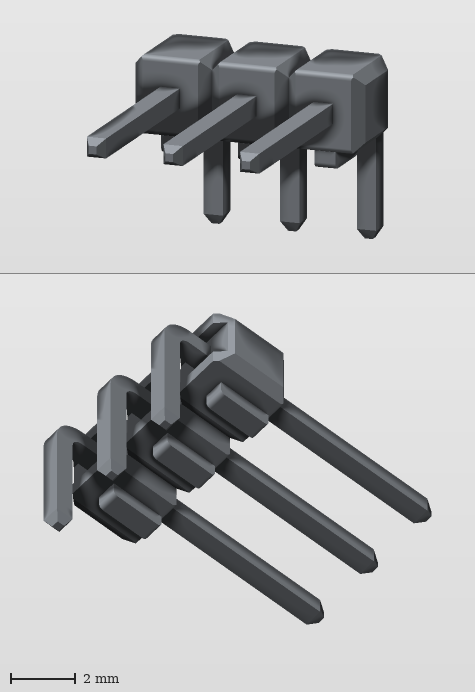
import cadquery as cq

positions = 3
pitch = 2.54
yaw = 0.15

housing_depth = 2.78
housing_height = 2.54
groove_depth = 0.35
front_chamfer = 0.32
back_chamfer = 0.49
front_edge_radius = 0.17
slot_height = 1.53
slot_depth = 0.33

foot_width = 0.7
foot_length = 1.94
foot_height = 0.56
foot_setback = 0.13
foot_radius = 0.18

pin_width = 0.64
bend_inner_radius = 0.41
tip_length = 0.33
tip_width = 0.26
front_reach = 6.725
back_reach = 1.59
leg_drop = 5.02

half_height = housing_height / 2
half_pin = pin_width / 2
bend_radius = bend_inner_radius + half_pin
leg_y = housing_depth + back_reach - half_pin
row_length = positions * pitch
pin_xs = [(i - (positions - 1) / 2) * pitch for i in range(positions)]


def make_side_profile():
    """Housing section across X, with rounded front edges and the slot along the back."""
    side = (
        cq.Workplane("YZ")
        .rect(housing_depth, housing_height)
        .extrude(row_length / 2, both=True)
        .translate((0, housing_depth / 2, 0))
        .edges("<Y and |X")
        .fillet(front_edge_radius)
    )
    slot = cq.Workplane("XY").box(row_length, 2 * slot_depth, slot_height)
    return side.cut(slot.translate((0, housing_depth, 0)))


def make_plan_outline(x):
    """One cell seen from above, its four corners chamfered."""
    half = pitch / 2
    half_front = half - groove_depth
    half_back = half - back_chamfer
    return (
        cq.Workplane("XY", origin=(x, 0, 0))
        .moveTo(-half_front, 0)
        .lineTo(half_front, 0)
        .lineTo(half, front_chamfer)
        .lineTo(half, housing_depth - back_chamfer)
        .lineTo(half_back, housing_depth)
        .lineTo(-half_back, housing_depth)
        .lineTo(-half, housing_depth - back_chamfer)
        .lineTo(-half, front_chamfer)
        .close()
        .extrude(half_height, both=True)
    )


def make_front_outline(x):
    """One cell seen along Y, its four long edges chamfered."""
    return (
        cq.Workplane("XY")
        .box(pitch, housing_depth, housing_height)
        .edges("|Y")
        .chamfer(groove_depth)
        .translate((x, housing_depth / 2, 0))
    )


def make_foot(x):
    """Standoff under one cell, rounded at its lower front and back edges."""
    return (
        cq.Workplane("XY")
        .box(foot_width, foot_length, foot_height)
        .edges("<Z and |X")
        .fillet(foot_radius)
        .translate((x, foot_setback + foot_length / 2, -half_height - foot_height / 2))
    )


def make_tip(plane):
    """Tapered pin end, widest at the origin of its plane."""
    return plane.rect(pin_width, pin_width).workplane(offset=tip_length).rect(tip_width, tip_width).loft()


def make_pin(x):
    """Square pin bent down behind the housing, tapered at both ends."""
    front_end = -front_reach + tip_length
    leg_end = -leg_drop + tip_length
    path = (
        cq.Workplane("YZ", origin=(x, 0, 0))
        .moveTo(front_end, 0)
        .lineTo(leg_y - bend_radius, 0)
        .tangentArcPoint((leg_y, -bend_radius), relative=False)
        .lineTo(leg_y, leg_end)
    )
    bar = cq.Workplane("XZ", origin=(x, front_end, 0)).rect(pin_width, pin_width).sweep(path)
    front_tip = make_tip(cq.Workplane("XZ", origin=(x, front_end, 0)))
    leg_tip = make_tip(cq.Workplane("XY", origin=(x, leg_y, leg_end)).transformed(rotate=(180, 0, 0)))
    return bar.union(front_tip).union(leg_tip)


def make_housing(pins):
    """Row of chamfered cells with feet, pierced by the pins."""
    plan = cq.Workplane("XY")
    front = cq.Workplane("XY")
    for x in pin_xs:
        plan = plan.union(make_plan_outline(x))
        front = front.union(make_front_outline(x))
    housing = make_side_profile().intersect(plan).intersect(front)
    for x in pin_xs:
        housing = housing.union(make_foot(x))
    for pin in pins:
        housing = housing.cut(pin)
    return housing


def turn(body):
    """Turn a finished body by the yaw angle of the header."""
    return body.rotate((0, 0, 0), (0, 0, 1), yaw)


pins = [make_pin(x) for x in pin_xs]
housing = make_housing(pins)

result = cq.Compound.makeCompound([turn(housing).val(), *[turn(pin).val() for pin in pins]])